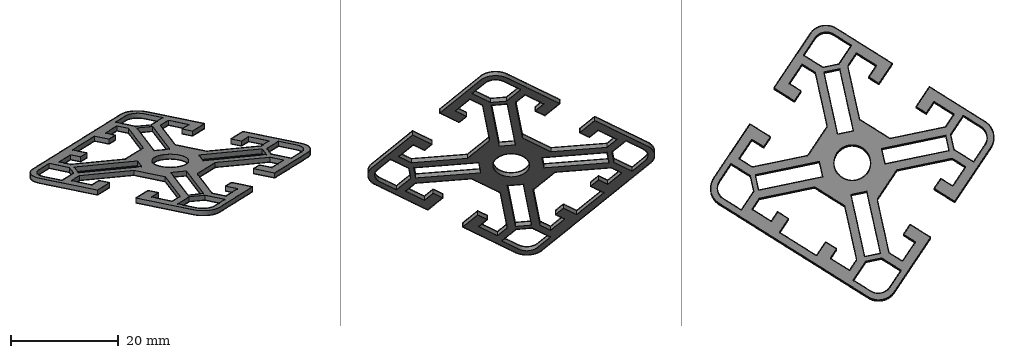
import cadquery as cq
import math

side = 40.0
thickness = 1.0
corner_radius = 3.5
half_side = side / 2

bore_diameter = 6.8
hub_width = 15.4

mouth_width = 8.2
lip_depth = 4.55
slot_width = 21.55
arm_width = 6.15

open_wall = 1.9
open_lip_width = 2.3

closed_wall = 2.4
closed_lip_width = 2.45
cover_wall = 1.45

corner_wall = 1.2
corner_web = 1.6
corner_inner_radius = 2.5
corner_chamfer = 2.1

window_width = 3.0
window_length = 12.15
window_start = 5.9


def t_slot(angle, wall, lip_width, mouth_end):
    """T-slot cutter opening towards +Y, then turned about Z by angle."""
    half_mouth = mouth_width / 2
    half_neck = half_mouth + lip_width
    half_slot = slot_width / 2
    half_hub = hub_width / 2
    lip_end = half_side - lip_depth
    slot_top = half_side - wall
    flank_offset = arm_width / 2 * math.sqrt(2)
    right_half = [
        (half_mouth, mouth_end),
        (half_mouth, lip_end),
        (half_neck, lip_end),
        (half_neck, slot_top),
        (half_slot, slot_top),
        (half_slot, half_slot + flank_offset),
        (half_hub - flank_offset, half_hub),
    ]
    left_half = [(-x, y) for x, y in reversed(right_half)]
    cutter = cq.Workplane("XY").polyline(right_half + left_half).close().extrude(thickness)
    return cutter.rotate((0, 0, 0), (0, 0, 1), angle)


def corner_pocket(angle):
    """Hollow of the +X +Y corner, rounded outside and chamfered inside, turned about Z."""
    inner = slot_width / 2 + corner_web
    outer = half_side - corner_wall
    width = outer - inner
    middle = (inner + outer) / 2
    pocket = cq.Workplane("XY").center(middle, middle).rect(width, width).extrude(thickness)
    pocket = pocket.edges("|Z and >X and >Y").fillet(corner_inner_radius)
    pocket = pocket.edges("|Z and <X and <Y").chamfer(corner_chamfer)
    return pocket.rotate((0, 0, 0), (0, 0, 1), angle)


def arm_window(angle):
    """Rectangular window along the diagonal arm at the given angle."""
    window_middle = window_start + window_length / 2
    window = cq.Workplane("XY").center(window_middle, 0).rect(window_length, window_width)
    return window.extrude(thickness).rotate((0, 0, 0), (0, 0, 1), angle)


plate = cq.Workplane("XY").rect(side, side).extrude(thickness)
plate = plate.edges("|Z").fillet(corner_radius)
plate = plate.faces(">Z").workplane().hole(bore_diameter)

for slot_angle in (0, 180, -90):
    plate = plate.cut(t_slot(slot_angle, open_wall, open_lip_width, half_side))

plate = plate.cut(t_slot(90, closed_wall, closed_lip_width, half_side - cover_wall))

for turn in (0, 90, 180, 270):
    plate = plate.cut(corner_pocket(turn))
    plate = plate.cut(arm_window(turn + 45))

result = plate